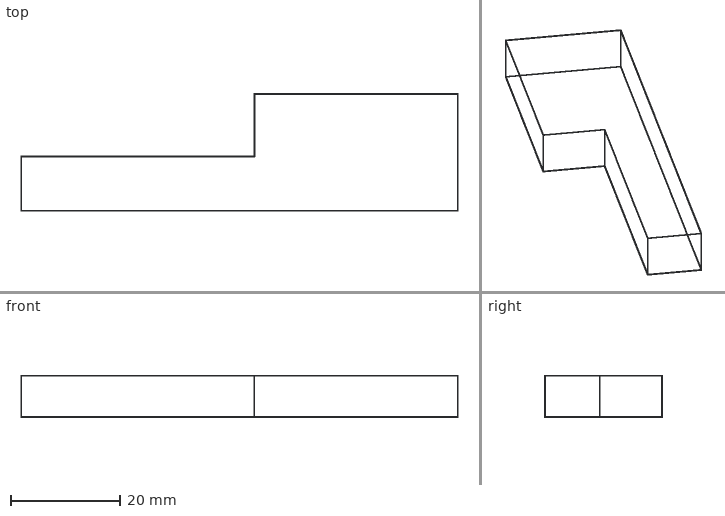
import cadquery as cq

length = 80.0
width = 21.45
thickness = 7.6

arm_length = 42.7
arm_width = 10.0

outline = [
    (0, 0),
    (length, 0),
    (length, width),
    (arm_length, width),
    (arm_length, arm_width),
    (0, arm_width),
]

result = cq.Workplane("XY").polyline(outline).close().extrude(thickness)